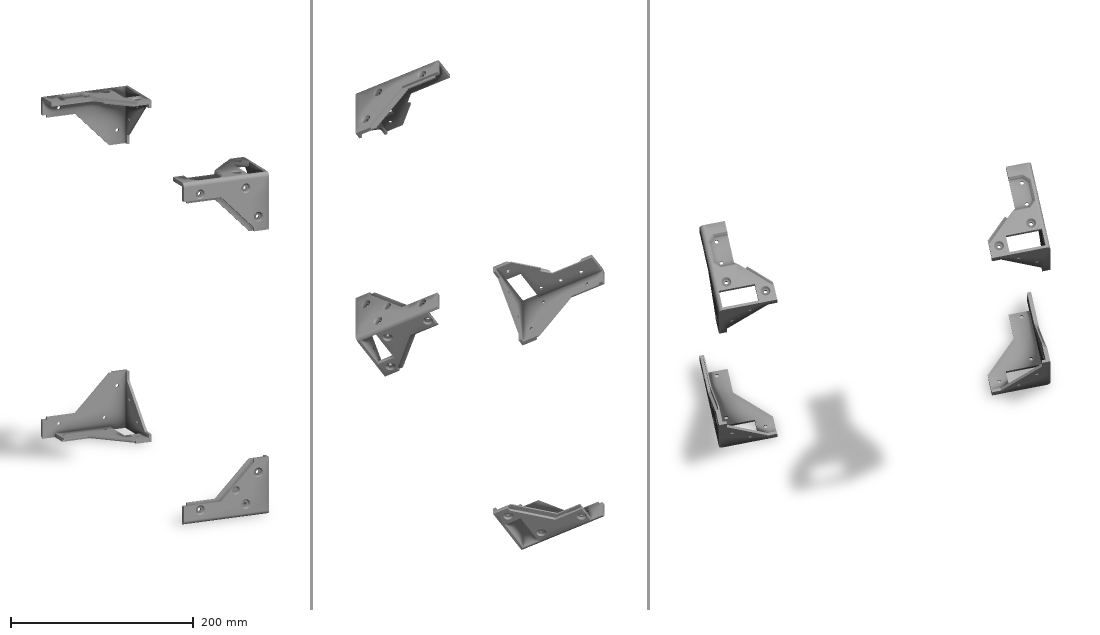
import cadquery as cq

FRAME_WIDTH = 370.0
FRAME_HEIGHT = 390.0
DEPTH = 103.0

REACH = 65.0
WING_THICKNESS = 4.5
BACK_THICKNESS = 3.0
EDGE_RADIUS = WING_THICKNESS

STEP_DEPTH = 3.0
OUTER_FLANK = 79.0
LEDGE_FLANK = 87.8
STEP_CORNER = 18.5
SIDE_OUTER_ARM = 21.0
SIDE_LEDGE_ARM = 24.0
FLOOR_OUTER_ARM = 24.0
FLOOR_LEDGE_ARM = 28.0
LEDGE_SETBACK = 5.0
FLOOR_FRONT = 88.0

BACK_END = 9.0
BACK_FLANK = 64.0
BACK_HOLE_DIAMETER = 4.0
BACK_HOLES = [(35.0, 15.2), (15.0, 35.0)]

WINDOW_END = 45.0
WINDOW_FRONT = 23.0

SEAT_DIAMETER = 11.0
SEAT_TAPER = 1.5
SEAT_DEPTH = 2.5
HOLE_DIAMETER = 4.0
SIDE_HOLES = [(49.0, 13.0), (15.0, 28.0), (15.0, 83.0)]
FLOOR_HOLES = [(54.5, 13.0), (15.0, 32.0), (15.0, 82.5)]
ROOF_HOLES = [(54.5, 13.0), (15.0, 32.0)]
FLANK_SEAT = (32.0, 39.8)
FLANK_SEAT_DIAMETER = 9.5

ROOF_ARM = FLOOR_LEDGE_ARM
ROOF_FLANK = 82.0
ROOF_LEDGE_END = 43.5
POCKET_SLOPE = 45
POCKET_REAR = 50.0
POCKET_FRONT = 90.0
POCKET_CORNER = 7.5
POCKET_HOLE_DIAMETER = 4.0
POCKET_HOLES = [(14.5, 56.0), (14.5, 82.0)]


def slab(points, bottom, top):
    """Flat layer from (reach, depth) points, between two heights."""
    outline = [(reach, -depth) for reach, depth in points]
    return cq.Workplane("XY").workplane(offset=bottom).polyline(outline).close().extrude(top - bottom)


def drill(wing, places, diameter):
    """Plain through holes."""
    for reach, depth in places:
        wing = wing.cut(cq.Workplane("XY").center(reach, -depth).circle(diameter / 2).extrude(WING_THICKNESS))
    return wing


def cut_seats(wing, places, diameter):
    """Tapered recesses with a flat floor, open on the outer face."""
    for reach, depth in places:
        seat = (
            cq.Workplane("XY")
            .center(reach, -depth)
            .circle(diameter / 2)
            .workplane(offset=SEAT_DEPTH)
            .circle(diameter / 2 - SEAT_TAPER)
            .loft()
        )
        wing = wing.cut(seat)
    return wing


def cut_fastener_holes(wing, places):
    return drill(cut_seats(wing, places, SEAT_DIAMETER), places, HOLE_DIAMETER)


def cut_window(wing):
    points = [
        (WING_THICKNESS, BACK_THICKNESS),
        (WINDOW_END, BACK_THICKNESS),
        (WINDOW_END, WINDOW_FRONT),
        (WING_THICKNESS, WINDOW_FRONT),
    ]
    return wing.cut(slab(points, 0, WING_THICKNESS))


def stepped_wing(outer_arm, ledge_arm, outer_front, ledge_front):
    """Wing whose ledge runs along the flank and the arm; the two fronts are depths from the back."""
    outer = slab(
        [
            (0, 0),
            (REACH, 0),
            (REACH, STEP_CORNER),
            (OUTER_FLANK - STEP_CORNER, STEP_CORNER),
            (outer_arm, OUTER_FLANK - outer_arm),
            (outer_arm, outer_front),
            (0, outer_front),
        ],
        0,
        WING_THICKNESS,
    )
    ledge = slab(
        [
            (0, 0),
            (REACH, 0),
            (REACH, LEDGE_FLANK - REACH),
            (ledge_arm, LEDGE_FLANK - ledge_arm),
            (ledge_arm, ledge_front),
            (0, ledge_front),
        ],
        STEP_DEPTH,
        WING_THICKNESS,
    )
    return outer.union(ledge)


def side_wing():
    wing = stepped_wing(SIDE_OUTER_ARM, SIDE_LEDGE_ARM, DEPTH, DEPTH - LEDGE_SETBACK)
    return cut_fastener_holes(wing, SIDE_HOLES)


def floor_wing():
    wing = stepped_wing(FLOOR_OUTER_ARM, FLOOR_LEDGE_ARM, FLOOR_FRONT, FLOOR_FRONT)
    return cut_window(cut_fastener_holes(wing, FLOOR_HOLES))


def pocket():
    """Recess with 45 degree walls, open at the inner edge of the arm."""
    left = WING_THICKNESS
    right = 2 * ROOF_ARM
    points = [
        (left + POCKET_CORNER, -POCKET_REAR),
        (right, -POCKET_REAR),
        (right, -POCKET_FRONT),
        (left + POCKET_CORNER, -POCKET_FRONT),
        (left, -POCKET_FRONT + POCKET_CORNER),
        (left, -POCKET_REAR - POCKET_CORNER),
    ]
    return cq.Workplane("XY").polyline(points).close().extrude(STEP_DEPTH, taper=POCKET_SLOPE)


def roof_wing():
    outer = slab(
        [
            (0, 0),
            (REACH, 0),
            (REACH, ROOF_FLANK - REACH),
            (ROOF_ARM, ROOF_FLANK - ROOF_ARM),
            (ROOF_ARM, DEPTH),
            (0, DEPTH),
        ],
        0,
        WING_THICKNESS,
    )
    half_step = (LEDGE_FLANK - ROOF_FLANK) / 2
    ledge = slab(
        [
            (0, 0),
            (REACH, 0),
            (REACH, LEDGE_FLANK - REACH),
            (LEDGE_FLANK - ROOF_LEDGE_END - half_step, ROOF_LEDGE_END + half_step),
            (ROOF_FLANK - ROOF_LEDGE_END, ROOF_LEDGE_END),
        ],
        STEP_DEPTH,
        WING_THICKNESS,
    )
    wing = outer.union(ledge).cut(pocket())
    wing = cut_fastener_holes(wing, ROOF_HOLES)
    return cut_window(drill(wing, POCKET_HOLES, POCKET_HOLE_DIAMETER))


def back_plate():
    points = [
        (0, 0),
        (REACH, 0),
        (REACH, BACK_END),
        (BACK_FLANK - BACK_END, BACK_END),
        (BACK_END, BACK_FLANK - BACK_END),
        (BACK_END, REACH),
        (0, REACH),
    ]
    plate = cq.Workplane("XZ").polyline(points).close().extrude(BACK_THICKNESS)
    holes = cq.Workplane("XZ").pushPoints(BACK_HOLES).circle(BACK_HOLE_DIAMETER / 2).extrude(BACK_THICKNESS)
    return plate.cut(holes)


def bracket(horizontal_wing, upright_wing):
    """Join two wings and the back plate; the upright wing is laid out flat and swapped X for Z."""
    body = horizontal_wing.union(upright_wing.mirror((1, 0, -1)))
    corner = cq.Workplane("XZ").rect(2 * EDGE_RADIUS, 2 * EDGE_RADIUS).extrude(DEPTH)
    rounding = cq.Workplane("XZ").center(EDGE_RADIUS, EDGE_RADIUS).circle(EDGE_RADIUS).extrude(DEPTH)
    body = body.union(back_plate()).cut(corner.cut(rounding))
    return body.translate((-FRAME_WIDTH / 2, DEPTH / 2, -FRAME_HEIGHT / 2))


lower_side = cut_seats(side_wing(), [FLANK_SEAT], FLANK_SEAT_DIAMETER)
lower_bracket = bracket(floor_wing(), lower_side)
upper_bracket = bracket(roof_wing(), side_wing()).mirror("XY")

solids = []
for left_bracket in (lower_bracket, upper_bracket):
    right_bracket = left_bracket.mirror("YZ")
    solids += [left_bracket.val(), right_bracket.val()]

result = cq.Compound.makeCompound(solids)